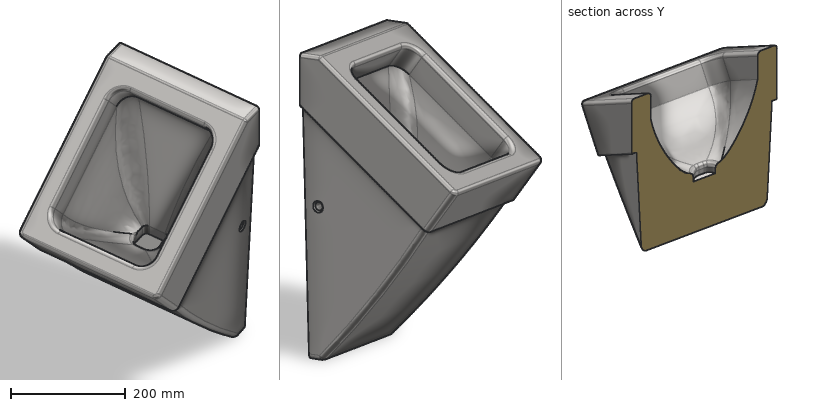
import math

import cadquery as cq

height = 555.0
head_width = 295.0
overall_depth = 317.19

tilt = math.radians(37.0)
sin_tilt = math.sin(tilt)
cos_tilt = math.cos(tilt)
head_length = 350.0
head_thickness = 100.0
head_fillet = 7.0
head_corner_fillet = 11.0
head_bottom_fillet = 3.0

front_edge_setback = head_fillet * (sin_tilt + cos_tilt - 1)
ridge_y = head_length * cos_tilt - overall_depth - front_edge_setback

body_step = 7.0
body_top_half_width = 137.5
body_side_draft = math.radians(3.2)
body_foot_depth = 27.0
body_front_bulge = 7.5
body_fillet = 11.0
body_overlap = 40.0

opening_margin = 40.0
opening_width = head_width - 2 * opening_margin
opening_corner = 30.0
bowl_wall_depth = 50.0
rim_fillet = 8.0

bowl_side_bulge = 12.0
bowl_front_bulge = 10.0
middle_front_corner = 18.0
middle_back_corner = 37.0

drain_size = 50.0
drain_back_y = -100.0
drain_back_corner = 9.0
drain_front_corner = 20.0
drain_edge_z = 260.0
drain_floor_z = 240.0
drain_edge_fillet = 10.0

hole_diameter = 15.0
hole_rim_diameter = 21.0
hole_y = -27.0
hole_z = 280.0
hole_depth = 40.0

back_extra = 30.0

selection_margin = 1.0

slope_normal = cq.Vector(0, -sin_tilt, cos_tilt)
front_normal = cq.Vector(0, -cos_tilt, -sin_tilt)


def slope_point(distance, depth):
    """(Y, Z) of a point down the slope from the ridge and beneath the sloping face."""
    y = ridge_y - distance * cos_tilt + depth * sin_tilt
    z = height - distance * sin_tilt - depth * cos_tilt
    return (y, z)


def back_point(depth):
    """(Y, Z) where a plane beneath the sloping face reaches the untrimmed back."""
    z = height + (back_extra - ridge_y) * math.tan(tilt) - depth / cos_tilt
    return (back_extra, z)


def trim_back(solid):
    """Cut off everything behind the back wall."""
    size = 2 * height
    behind_wall = cq.Workplane("XY").box(size, size, 2 * size).translate((0, size / 2, 0))
    return solid.cut(behind_wall)


def make_head():
    outline = [
        (back_extra, height),
        (ridge_y, height),
        slope_point(head_length, 0),
        slope_point(head_length, head_thickness),
        back_point(head_thickness),
    ]
    head = cq.Workplane("YZ").polyline(outline).close().extrude(head_width / 2, both=True)
    front_corners = cq.selectors.ParallelDirSelector(slope_normal)
    underside = cq.selectors.DirectionMinMaxSelector(slope_normal, directionMax=False)
    sloping_face = cq.selectors.DirectionMinMaxSelector(slope_normal)
    head = head.edges(front_corners).fillet(head_corner_fillet)
    head = head.faces(underside).edges().fillet(head_bottom_fillet)
    top_edges = head.faces(sloping_face).edges().add(head.faces(">Z").edges())
    head = head.newObject(top_edges.vals()).fillet(head_fillet)
    return trim_back(head)


def make_body():
    foot = (-body_foot_depth, 0)
    brow = slope_point(head_length - body_step, head_thickness)
    chord_y = brow[0] - foot[0]
    chord_z = brow[1] - foot[1]
    chord = math.hypot(chord_y, chord_z)
    front_middle = (
        (foot[0] + brow[0]) / 2 - body_front_bulge * chord_z / chord,
        (foot[1] + brow[1]) / 2 + body_front_bulge * chord_y / chord,
    )
    top_depth = head_thickness - body_overlap
    side_profile = (
        cq.Workplane("YZ")
        .moveTo(back_extra, 0)
        .lineTo(*foot)
        .threePointArc(front_middle, brow)
        .lineTo(*slope_point(head_length - body_step, top_depth))
        .lineTo(*back_point(top_depth))
        .close()
        .extrude(head_width / 2, both=True)
    )

    wedge_reach = height
    draft_slope = math.tan(body_side_draft)
    top_half = body_top_half_width + body_overlap * draft_slope
    low_half = body_top_half_width - (wedge_reach - head_thickness) * draft_slope
    wedge_plane = cq.Plane(origin=(0, ridge_y, height), xDir=(1, 0, 0), normal=front_normal)
    wedge = (
        cq.Workplane(wedge_plane)
        .polyline([
            (-top_half, -top_depth),
            (top_half, -top_depth),
            (low_half, -wedge_reach),
            (-low_half, -wedge_reach),
        ])
        .close()
        .extrude(height, both=True)
    )
    body = side_profile.intersect(wedge)
    return trim_back(body.edges().fillet(body_fillet))


def rounded_section(plane, half_width, front, back, front_corner, back_corner):
    """Closed outline, symmetric in X, with its own corner radius at the front and at the back."""
    front_flat = half_width - front_corner
    back_flat = half_width - back_corner
    return (
        cq.Workplane(plane)
        .moveTo(-front_flat, front)
        .lineTo(front_flat, front)
        .radiusArc((half_width, front + front_corner), -front_corner)
        .lineTo(half_width, back - back_corner)
        .radiusArc((back_flat, back), -back_corner)
        .lineTo(-back_flat, back)
        .radiusArc((-half_width, back - back_corner), -back_corner)
        .lineTo(-half_width, front + front_corner)
        .radiusArc((-front_flat, front), -front_corner)
        .close()
    )


def bowl_section(back_edge, front_edge, half_width, front_corner, back_corner):
    """Bowl outline in the plane that holds a back and a front edge, each given as (Y, Z)."""
    run = back_edge[0] - front_edge[0]
    rise = back_edge[1] - front_edge[1]
    origin = (0, front_edge[0], front_edge[1])
    plane = cq.Plane(origin, xDir=(1, 0, 0), normal=(0, -rise, run))
    return rounded_section(plane, half_width, 0, math.hypot(run, rise), front_corner, back_corner)


def midpoint(start, end):
    return ((start[0] + end[0]) / 2, (start[1] + end[1]) / 2)


def make_bowl():
    """Bowl cavity: straight walls under the rim, then sides curving in to the drain."""
    mouth_back = slope_point(opening_margin, bowl_wall_depth)
    mouth_front = slope_point(head_length - opening_margin, bowl_wall_depth)
    drain_back = (drain_back_y, drain_edge_z)
    drain_front = (drain_back_y - drain_size, drain_edge_z)
    middle_back = midpoint(mouth_back, drain_back)
    middle_front = midpoint(mouth_front, drain_front)
    middle_front = (middle_front[0], middle_front[1] - bowl_front_bulge)
    middle_half_width = (opening_width + drain_size) / 4 + bowl_side_bulge

    mouth = bowl_section(mouth_back, mouth_front, opening_width / 2, opening_corner, opening_corner)
    middle = bowl_section(
        middle_back, middle_front, middle_half_width, middle_front_corner, middle_back_corner)
    drain = bowl_section(
        drain_back, drain_front, drain_size / 2, drain_front_corner, drain_back_corner)
    sections = [section.wire().val() for section in (mouth, middle, drain)]
    funnel = cq.Workplane(cq.Solid.makeLoft(sections))
    upper_walls = mouth.extrude(bowl_wall_depth)
    outlet = drain.extrude(drain_floor_z - drain_edge_z)
    return upper_walls.union(funnel).union(outlet)


def side_hole(side):
    """Countersunk hole square to one drafted side of the body; side is -1 or 1."""
    depth_below_head = (height - hole_z) * cos_tilt + (hole_y - ridge_y) * sin_tilt - head_thickness
    surface_x = body_top_half_width - depth_below_head * math.tan(body_side_draft)
    side_normal = cq.Vector(side, 0, 0) * math.cos(body_side_draft)
    inward = (side_normal - slope_normal * math.sin(body_side_draft)) * -1
    entry = cq.Vector(side * surface_x, hole_y, hole_z)
    bore = cq.Solid.makeCylinder(hole_diameter / 2, hole_depth, entry, inward)
    chamfer = (hole_rim_diameter - hole_diameter) / 2
    rim = cq.Solid.makeCone(hole_rim_diameter / 2, hole_diameter / 2, chamfer, entry, inward)
    return cq.Workplane(bore).union(cq.Workplane(rim))


def round_rim(part):
    sloping_face = part.faces(cq.selectors.DirectionMinMaxSelector(slope_normal))
    rim = cq.selectors.LengthNthSelector(0)
    return sloping_face.wires(rim).fillet(rim_fillet)


def round_drain(part):
    half = drain_size / 2
    front_half = cq.selectors.BoxSelector(
        (-half, drain_back_y - drain_size - selection_margin, drain_edge_z - selection_margin),
        (half, drain_back_y - half, drain_edge_z + selection_margin),
    )
    return part.edges(front_half).fillet(drain_edge_fillet)


result = make_head().union(make_body()).cut(make_bowl())
result = round_rim(result)
result = round_drain(result)
for side in (-1, 1):
    result = result.cut(side_hole(side))